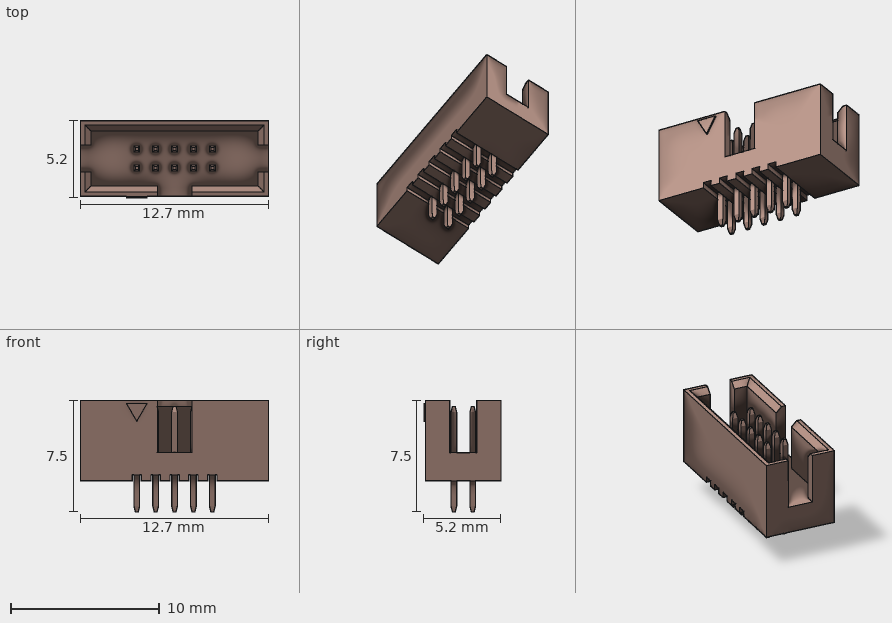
import cadquery as cq
import math


body_length = 12.65
body_width = 5.1
body_height = 5.4
floor_height = 1.9
wall = 0.7
lead_in = 0.4

end_slot_width = 1.8
key_slot_width = 2.32

pitch = 1.27
columns = 5
rows = 2
pin_side = 0.4
pin_tip_side = 0.2
pin_taper = 0.4
pin_below_body = 2.1
pin_below_rim = 0.4

groove_width = 0.6
groove_depth = 0.4

marker_height = 1.2
marker_below_rim = 0.2
marker_thickness = 0.1

column_x = [(i - (columns - 1) / 2) * pitch for i in range(columns)]
row_y = [(j - (rows - 1) / 2) * pitch for j in range(rows)]
wall_height = body_height - floor_height


def box_on(z, length, width, height):
    """Box centred on the Z axis, standing on height z."""
    return cq.Workplane("XY").workplane(offset=z).rect(length, width).extrude(height)


def housing():
    cavity = box_on(floor_height, body_length - 2 * wall, body_width - 2 * wall, wall_height)
    shell = box_on(0, body_length, body_width, body_height).cut(cavity)
    mouth_edges = cq.selectors.BoxSelector(
        (-body_length / 2 + wall / 2, -body_width / 2 + wall / 2, body_height - lead_in / 2),
        (body_length / 2 - wall / 2, body_width / 2 - wall / 2, body_height + lead_in / 2),
    )
    return shell.edges(mouth_edges).chamfer(lead_in)


def end_slots():
    """One cutter opening both end walls."""
    return box_on(floor_height, body_length, end_slot_width, wall_height)


def key_slot():
    """Cutter for the polarising gap in the -Y wall."""
    wall_centre_y = -(body_width - wall) / 2
    return box_on(floor_height, key_slot_width, wall, wall_height).translate((0, wall_centre_y, 0))


def groove(x):
    return box_on(0, groove_width, body_width, groove_depth).translate((x, 0, 0))


def marker():
    half_side = marker_height * math.tan(math.radians(30))
    top_z = body_height - marker_below_rim
    x = column_x[0]
    corners = [(x - half_side, top_z), (x + half_side, top_z), (x, top_z - marker_height)]
    face = cq.Workplane("XZ", origin=(0, -body_width / 2, 0))
    return face.polyline(corners).close().extrude(marker_thickness)


def pin_tip(base_z, rise):
    """Square taper from the pin section at base_z; a negative rise points down."""
    base = cq.Workplane("XY").workplane(offset=base_z).rect(pin_side, pin_side)
    return base.workplane(offset=rise).rect(pin_tip_side, pin_tip_side).loft()


def pin():
    """Square pin on the Z axis with both ends tapered."""
    shank_bottom = pin_taper - pin_below_body
    shank_top = body_height - pin_below_rim - pin_taper
    shank = box_on(shank_bottom, pin_side, pin_side, shank_top - shank_bottom)
    return shank.union(pin_tip(shank_top, pin_taper)).union(pin_tip(shank_bottom, -pin_taper))


result = housing().cut(end_slots()).cut(key_slot())
for x in column_x:
    result = result.cut(groove(x))
result = result.union(marker())

header_pin = pin()
for x in column_x:
    for y in row_y:
        result = result.union(header_pin.translate((x, y, 0)))